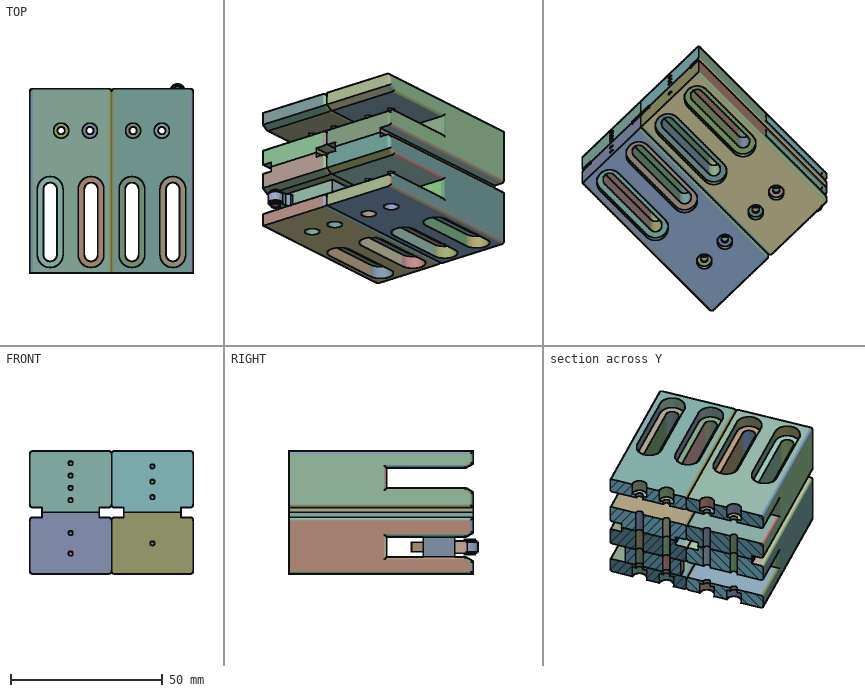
import cadquery as cq
import math

BLOCK_WIDTH = 27.0
BLOCK_DEPTH = 61.0
STACK_HEIGHT = 40.7
BLOCK_HEIGHT = STACK_HEIGHT / 2
BODY_HEIGHT = 18.75
RAIL_HEIGHT = BLOCK_HEIGHT - BODY_HEIGHT
RAIL_SETBACK = 4.0
EDGE_RADIUS = 1.0

FORK_GAP = 6.5
FORK_CENTRE_DROP = 8.95
FORK_BOTTOM_Y = 32.4
MOUTH_LENGTH = 2.5
MOUTH_ANGLE = 30

SLOT_WIDTH = 4.4
SLOT_RECESS_WIDTH = 8.5
SLOT_TRAVEL = 21.6
SLOT_CENTRE_Y = 16.9
RECESS_DEPTH = 4.2

SCREW_HOLE_DIAMETER = 2.4
SCREW_HEAD_DIAMETER = 5.0
SCREW_SPACING = 9.5
SCREW_CENTRE_X = 11.9
SCREW_Y = 47.1

MARK_DIAMETER = 1.5
MARK_DEPTH = 1.3

SWITCH_LENGTH = 19.75
SWITCH_BOTTOM_Y = 44.35
SWITCH_TOP_Y = 54.85
TERMINAL_LENGTH = 3.9
TERMINAL_THICKNESS = 3.2
TERMINAL_SETBACK = 1.25

ROLLER_X = 21.8
ROLLER_RADIUS = 2.4
ROLLER_TIP_Y = 62.55
ROLLER_Y = ROLLER_TIP_Y - ROLLER_RADIUS
ROLLER_WIDTH = 3.2
AXLE_RADIUS = 1.5
AXLE_LENGTH = 5.1

HOLDER_RADIUS = 2.0
HOLDER_WIDTH = 4.1
FOOT_TOP_Y = 56.05
FOOT_BEVEL = 1.1
BOSS_SHIFT_X = 0.4
BOSS_SHIFT_Y = -0.75

FORK_Z = BLOCK_HEIGHT - FORK_CENTRE_DROP
SWITCH_Z = -FORK_Z
SCREW_XS = [SCREW_CENTRE_X - SCREW_SPACING / 2, SCREW_CENTRE_X + SCREW_SPACING / 2]


def disc(x, y, radius, width):
    """Cylinder along Z, centred on the mid-height of the switch."""
    return cq.Workplane("XY", origin=(x, y, SWITCH_Z - width / 2)).circle(radius).extrude(width)


def block_body():
    """Forked block with rounded side edges; the front edges stay sharp."""
    gap_half = FORK_GAP / 2
    mouth_half = gap_half + MOUTH_LENGTH * math.tan(math.radians(MOUTH_ANGLE))
    mouth_y = BLOCK_DEPTH - MOUTH_LENGTH
    body = (
        cq.Workplane("YZ")
        .moveTo(0, RAIL_HEIGHT)
        .lineTo(BLOCK_DEPTH, RAIL_HEIGHT)
        .lineTo(BLOCK_DEPTH, FORK_Z - mouth_half)
        .lineTo(mouth_y, FORK_Z - gap_half)
        .lineTo(FORK_BOTTOM_Y, FORK_Z - gap_half)
        .lineTo(FORK_BOTTOM_Y, FORK_Z + gap_half)
        .lineTo(mouth_y, FORK_Z + gap_half)
        .lineTo(BLOCK_DEPTH, FORK_Z + mouth_half)
        .lineTo(BLOCK_DEPTH, BLOCK_HEIGHT)
        .lineTo(0, BLOCK_HEIGHT)
        .close()
        .extrude(BLOCK_WIDTH)
    )
    side_edges = body.faces("<X or >X").edges()
    return side_edges.filter(lambda edge: edge.Center().y > EDGE_RADIUS).fillet(EDGE_RADIUS)


def rail():
    """Plain rail along the inner face, where the upper and lower blocks meet."""
    return cq.Workplane("XY").box(
        BLOCK_WIDTH - 2 * RAIL_SETBACK, BLOCK_DEPTH, RAIL_HEIGHT, centered=False
    ).translate((RAIL_SETBACK, 0, 0))


def stepped_slots():
    """Two long slots through the block, each with a wider recess in the outer face."""
    top = cq.Workplane("XY", origin=(0, SLOT_CENTRE_Y, BLOCK_HEIGHT)).pushPoints(
        [(BLOCK_WIDTH / 4, 0), (BLOCK_WIDTH * 3 / 4, 0)]
    )
    through = top.slot2D(SLOT_TRAVEL + SLOT_WIDTH, SLOT_WIDTH, 90).extrude(-BLOCK_HEIGHT)
    recess = top.slot2D(SLOT_TRAVEL + SLOT_RECESS_WIDTH, SLOT_RECESS_WIDTH, 90).extrude(-RECESS_DEPTH)
    return through.union(recess)


def screw_holes():
    """Two counterbored holes through both prongs of the fork."""
    top = cq.Workplane("XY", origin=(0, SCREW_Y, BLOCK_HEIGHT)).pushPoints([(x, 0) for x in SCREW_XS])
    through = top.circle(SCREW_HOLE_DIAMETER / 2).extrude(-BLOCK_HEIGHT)
    return through.union(top.circle(SCREW_HEAD_DIAMETER / 2).extrude(-RECESS_DEPTH))


def marking_dimple(z):
    """Pointed hollow in the front face, cut as a cone along Y."""
    cone = cq.Solid.makeCone(
        MARK_DIAMETER / 2, 0, MARK_DEPTH, pnt=cq.Vector(BLOCK_WIDTH / 2, 0, z), dir=cq.Vector(0, 1, 0)
    )
    return cq.Workplane(cone)


def block(mark_count):
    """Upper right block with its marking dimples spread evenly over its height."""
    solid = block_body().union(rail()).cut(stepped_slots()).cut(screw_holes())
    for number in range(1, mark_count + 1):
        solid = solid.cut(marking_dimple(number * BLOCK_HEIGHT / (mark_count + 1)))
    return solid


def switch():
    """Switch housing between the prongs of the lower right block, with a terminal bar."""
    left_x = SCREW_CENTRE_X - SWITCH_LENGTH / 2
    housing = cq.Workplane("XY").box(
        SWITCH_LENGTH, SWITCH_TOP_Y - SWITCH_BOTTOM_Y, FORK_GAP, centered=(False, False, True)
    ).translate((left_x, SWITCH_BOTTOM_Y, SWITCH_Z))
    terminal_width = SWITCH_LENGTH - 2 * TERMINAL_SETBACK
    terminal = cq.Workplane("XY").box(
        terminal_width, TERMINAL_LENGTH, TERMINAL_THICKNESS, centered=(False, False, True)
    ).translate((left_x + TERMINAL_SETBACK, SWITCH_BOTTOM_Y - TERMINAL_LENGTH, SWITCH_Z))
    solid = housing.union(terminal)
    for x in SCREW_XS:
        solid = solid.cut(disc(x, SCREW_Y, SCREW_HOLE_DIAMETER / 2, FORK_GAP))
    return solid


def roller():
    """Roller with an axle that stands out at both ends."""
    wheel = disc(ROLLER_X, ROLLER_Y, ROLLER_RADIUS, ROLLER_WIDTH)
    return wheel.union(disc(ROLLER_X, ROLLER_Y, AXLE_RADIUS, AXLE_LENGTH))


def roller_holder():
    """Round-nosed holder standing on the switch, with a bevelled foot and side bosses."""
    left_x = ROLLER_X - HOLDER_RADIUS
    right_x = ROLLER_X + HOLDER_RADIUS
    stem = (
        cq.Workplane("XY", origin=(0, 0, SWITCH_Z - HOLDER_WIDTH / 2))
        .moveTo(left_x - FOOT_BEVEL, SWITCH_TOP_Y)
        .lineTo(right_x, SWITCH_TOP_Y)
        .lineTo(right_x, ROLLER_Y)
        .threePointArc((ROLLER_X, ROLLER_Y + HOLDER_RADIUS), (left_x, ROLLER_Y))
        .lineTo(left_x, FOOT_TOP_Y + FOOT_BEVEL)
        .lineTo(left_x - FOOT_BEVEL, FOOT_TOP_Y)
        .close()
        .extrude(HOLDER_WIDTH)
    )
    bosses = disc(ROLLER_X + BOSS_SHIFT_X, ROLLER_Y + BOSS_SHIFT_Y, AXLE_RADIUS, AXLE_LENGTH)
    return stem.union(bosses).cut(roller())


upper_right = block(3)
upper_left = block(4).mirror("YZ")
lower_right = block(1).mirror("XY")
lower_left = block(2).mirror("YZ").mirror("XY")
blocks = [upper_right, upper_left, lower_right, lower_left]

result = cq.Compound.makeCompound(
    [*(each.val() for each in blocks), switch().val(), roller_holder().val(), roller().val()]
)